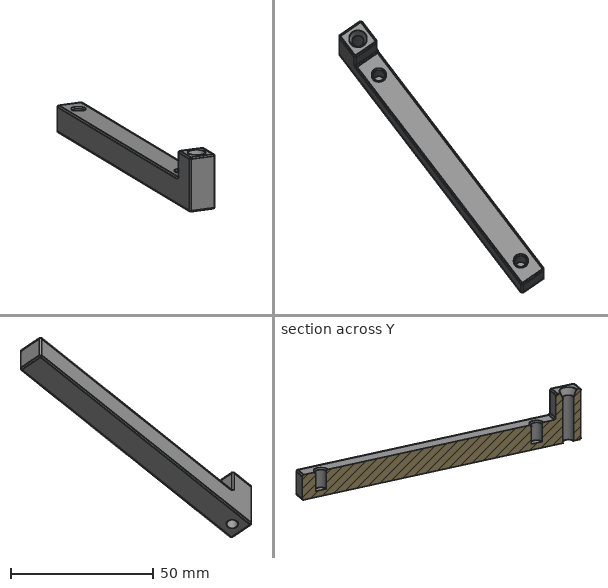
import cadquery as cq

length = 110.0
width = 10.0
height = 2 * width
edge_chamfer = 0.5

blind_diameter = 4.1
blind_mouth_diameter = 5.2
blind_mouth_depth = (blind_mouth_diameter - blind_diameter) / 2
blind_depth = 7.5
first_hole_x = 7.5
hole_spacing = 85.0

through_diameter = 4.1
through_mouth_diameter = 6.3
through_mouth_depth = 2.6

block_face_x = length - width
through_hole_x = length - width / 2


def make_body():
    """L-shaped bar with every edge, including the inner corner, chamfered."""
    profile = [
        (0, 0),
        (length, 0),
        (length, height),
        (block_face_x, height),
        (block_face_x, width),
        (0, width),
    ]
    bar = cq.Workplane("XZ").polyline(profile).close().extrude(width / 2, both=True)
    return bar.edges().chamfer(edge_chamfer)


def make_hole_cutter(x, top, depth, diameter, mouth_diameter, mouth_depth):
    """Straight hole going down from the top face, with a conical mouth."""
    radius = diameter / 2
    mouth_radius = mouth_diameter / 2
    half_section = [
        (0, top),
        (mouth_radius, top),
        (radius, top - mouth_depth),
        (radius, top - depth),
        (0, top - depth),
    ]
    cutter = cq.Workplane("XZ").polyline(half_section).close().revolve(360, (0, 0), (0, 1))
    return cutter.translate((x, 0, 0))


result = make_body()
for hole_x in (first_hole_x, first_hole_x + hole_spacing):
    blind_cutter = make_hole_cutter(
        hole_x, width, blind_depth, blind_diameter, blind_mouth_diameter, blind_mouth_depth
    )
    result = result.cut(blind_cutter)
through_cutter = make_hole_cutter(
    through_hole_x, height, height, through_diameter, through_mouth_diameter, through_mouth_depth
)
result = result.cut(through_cutter)